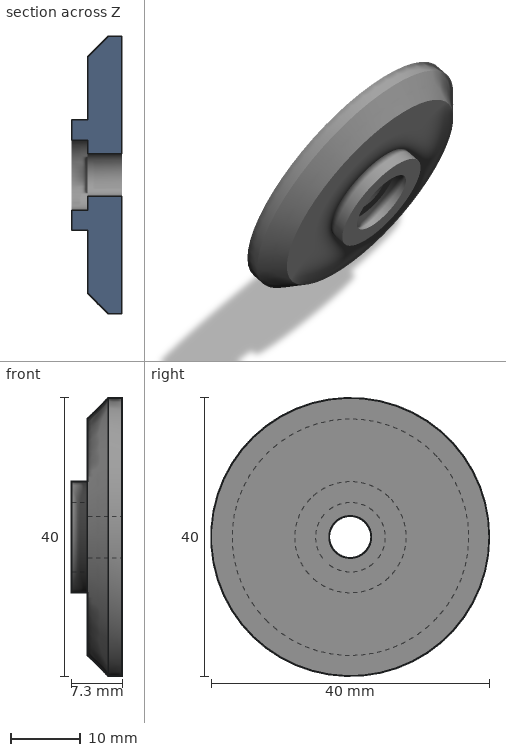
import cadquery as cq

disc_diameter = 40.0
rim_width = 2.0
bevel = 3.0

hub_diameter = 16.0
hub_height = 2.3

bore_diameter = 6.0
counterbore_diameter = 10.0
counterbore_depth = hub_height

disc_thickness = rim_width + bevel
total_length = disc_thickness + hub_height


def cylinder_along_x(diameter, start_x, length):
    """Cylinder centred on the X axis, growing towards +X from start_x."""
    return cq.Workplane("YZ", origin=(start_x, 0, 0)).circle(diameter / 2).extrude(length)


def bevelled_disc():
    """Disc from x = 0 to its thickness, bevelled around the -X face."""
    return cylinder_along_x(disc_diameter, 0, disc_thickness).faces("<X").edges().chamfer(bevel)


hub = cylinder_along_x(hub_diameter, -hub_height, hub_height)
bore = cylinder_along_x(bore_diameter, -hub_height, total_length)
counterbore = cylinder_along_x(counterbore_diameter, -hub_height, counterbore_depth)

result = bevelled_disc().union(hub).cut(bore).cut(counterbore)